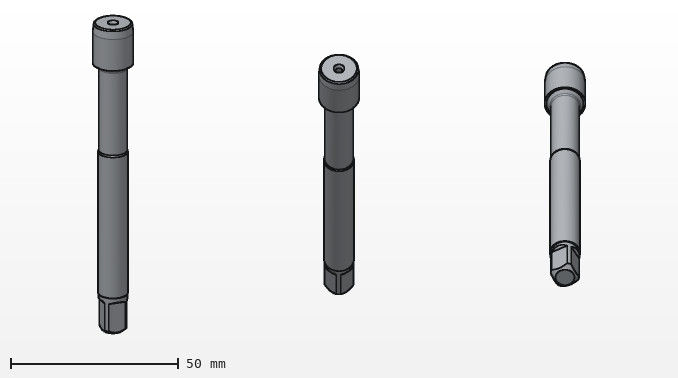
import cadquery as cq
import math

LENGTH = 100.0

HEAD_DIAMETER = 12.2
HEAD_RIM_DIAMETER = 11.6
HEAD_TOP_CHAMFER_HEIGHT = 0.4
HEAD_TOP_DIAMETER = 10.6
HEAD_TAPER_BASE_Z = 97.2
HEAD_BOTTOM_Z = 86.9
UNDERHEAD_CONE_DIAMETER = 11.0
NECK_FILLET = 0.8

NECK_DIAMETER = 8.6
NECK_END_Z = 58.6
SHANK_DIAMETER = 9.0
SHANK_TOP_Z = 58.0
SHANK_BOTTOM_Z = 12.2

DRIVE_DIAMETER = 8.7
DRIVE_TOP_Z = 12.0
DRIVE_TIP_DIAMETER = 5.7
DRIVE_CHAMFER_HEIGHT = 1.3
ACROSS_FLATS = 7.0
FLAT_TOP_Z = 10.1
SHOULDER_RISE = 0.6

HOLE_DIAMETER = 2.0
HOLE_DEPTH = 4.0
HOLE_TIP_ANGLE = 120.0
COUNTERSINK_DIAMETER = 3.2
COUNTERSINK_ANGLE = 60.0


def cone_height(radius_change, included_angle):
    """Axial length of a cone over a given change of radius."""
    return radius_change / math.tan(math.radians(included_angle / 2))


def turned_body():
    """Head, neck, shank and round drive end turned about Z."""
    head_radius = HEAD_DIAMETER / 2
    rim_radius = HEAD_RIM_DIAMETER / 2
    neck_radius = NECK_DIAMETER / 2
    shank_radius = SHANK_DIAMETER / 2
    drive_radius = DRIVE_DIAMETER / 2
    cone_radius = UNDERHEAD_CONE_DIAMETER / 2

    half_turn = math.radians(45 / 2)
    cone_angle = math.radians(45)
    cone_root_z = HEAD_BOTTOM_Z - (cone_radius - neck_radius)
    fillet_bottom_z = cone_root_z - NECK_FILLET * math.tan(half_turn)

    def fillet_point(angle):
        radius = neck_radius + NECK_FILLET * (1 - math.cos(angle))
        return radius, fillet_bottom_z + NECK_FILLET * math.sin(angle)

    return (
        cq.Workplane("XZ")
        .moveTo(0, 0)
        .lineTo(DRIVE_TIP_DIAMETER / 2, 0)
        .lineTo(drive_radius, DRIVE_CHAMFER_HEIGHT)
        .lineTo(drive_radius, DRIVE_TOP_Z)
        .lineTo(shank_radius, SHANK_BOTTOM_Z)
        .lineTo(shank_radius, SHANK_TOP_Z)
        .lineTo(neck_radius, NECK_END_Z)
        .lineTo(neck_radius, fillet_bottom_z)
        .threePointArc(fillet_point(half_turn), fillet_point(cone_angle))
        .lineTo(cone_radius, HEAD_BOTTOM_Z)
        .lineTo(head_radius, HEAD_BOTTOM_Z)
        .lineTo(head_radius, HEAD_TAPER_BASE_Z)
        .lineTo(rim_radius, LENGTH - HEAD_TOP_CHAMFER_HEIGHT)
        .lineTo(HEAD_TOP_DIAMETER / 2, LENGTH)
        .lineTo(0, LENGTH)
        .close()
        .revolve(360, (0, 0, 0), (0, 1, 0))
    )


def flat_cutter():
    """Prism that cuts the +X flat, with a sloped shoulder at its top."""
    flat_x = ACROSS_FLATS / 2
    drive_radius = DRIVE_DIAMETER / 2
    return (
        cq.Workplane("XZ")
        .moveTo(flat_x, 0)
        .lineTo(drive_radius, 0)
        .lineTo(drive_radius, FLAT_TOP_Z + SHOULDER_RISE)
        .lineTo(flat_x, FLAT_TOP_Z)
        .close()
        .extrude(drive_radius, both=True)
    )


def centre_hole():
    """Countersunk blind hole with a conical tip, turned about Z."""
    hole_radius = HOLE_DIAMETER / 2
    sink_radius = COUNTERSINK_DIAMETER / 2
    sink_depth = cone_height(sink_radius - hole_radius, COUNTERSINK_ANGLE)
    tip_height = cone_height(hole_radius, HOLE_TIP_ANGLE)
    hole_end_z = LENGTH - HOLE_DEPTH
    return (
        cq.Workplane("XZ")
        .moveTo(0, LENGTH)
        .lineTo(sink_radius, LENGTH)
        .lineTo(hole_radius, LENGTH - sink_depth)
        .lineTo(hole_radius, hole_end_z)
        .lineTo(0, hole_end_z - tip_height)
        .close()
        .revolve(360, (0, 0, 0), (0, 1, 0))
    )


result = turned_body().cut(centre_hole())
for angle in (0, 90, 180, 270):
    result = result.cut(flat_cutter().rotate((0, 0, 0), (0, 0, 1), angle))